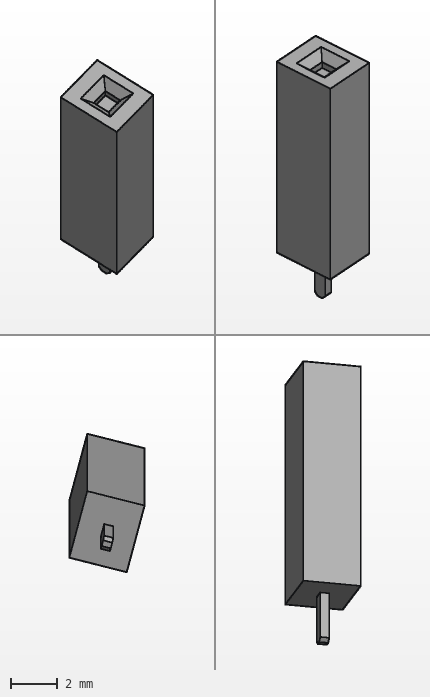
import cadquery as cq

total_height = 12.2
body_x = 3.04
body_y = 2.54
body_height = 10.0

mouth_side = 1.6
socket_side = 0.8
funnel_depth = (mouth_side - socket_side) / 2
socket_depth = 0.3

pin_x = 0.6
pin_y = 0.4
pin_length = total_height - body_height
tip_chamfer = 0.17


def make_body():
    return cq.Workplane("XY").box(body_x, body_y, body_height, centered=(True, True, False))


def make_socket():
    """Square funnel that leads into a short square hole."""
    funnel = (
        cq.Workplane("XY", origin=(0, 0, body_height))
        .rect(mouth_side, mouth_side)
        .workplane(offset=-funnel_depth)
        .rect(socket_side, socket_side)
        .loft(ruled=True)
    )
    hole = (
        cq.Workplane("XY", origin=(0, 0, body_height - funnel_depth))
        .rect(socket_side, socket_side)
        .extrude(-socket_depth)
    )
    return funnel.union(hole)


def make_pin():
    """Flat pin whose tip is chamfered on its two narrow sides."""
    pin = cq.Workplane("XY").rect(pin_x, pin_y).extrude(-pin_length)
    return pin.faces("<Z").edges("|Y").chamfer(tip_chamfer)


result = make_body().cut(make_socket()).union(make_pin())